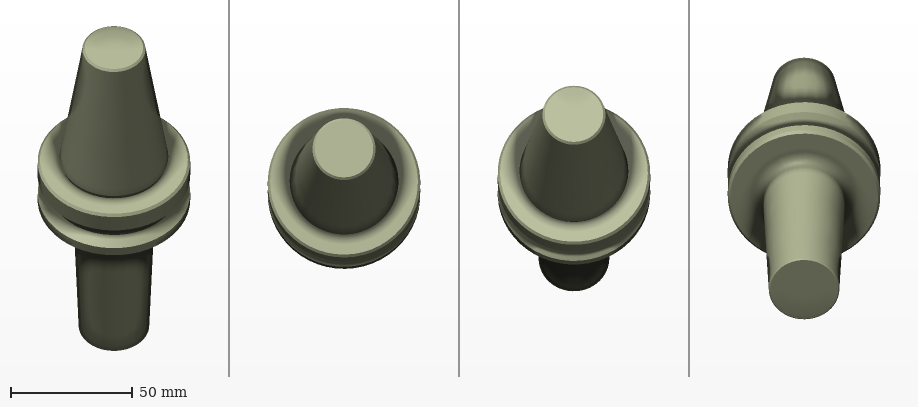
import cadquery as cq
import math

total_length = 167.4
shank_length = 65.5
gauge_radius = 22.5
shank_taper = 7 / 24
shank_tip_radius = gauge_radius - shank_length * shank_taper / 2
shank_tip_chamfer = 0.8

relief_radius = 21.8
relief_cone_bottom = -1.0

flange_radius = 31.5
flange_top = -2.0
flange_bottom = -27.0
flange_chamfer = 1.0
groove_center = -16.4
groove_floor_radius = 26.6
groove_floor_width = 5.0
groove_flank_angle = 30
groove_flank_height = (flange_radius - groove_floor_radius) * math.tan(math.radians(groove_flank_angle))
groove_mouth_width = groove_floor_width + 2 * groove_flank_height

nose_end = shank_length - total_length
nose_end_radius = 14.5
nose_root_radius = 17.0
nose_end_chamfer = 0.5
nose_fillet = 4.7
root_tolerance = 0.2


def cone(bottom, bottom_radius, top, top_radius):
    """Solid frustum about Z."""
    outline = [(0, bottom), (bottom_radius, bottom), (top_radius, top), (0, top)]
    return cq.Workplane("XZ").polyline(outline).close().revolve(360, (0, 0), (0, 1))


def make_shank():
    shank = cone(0, gauge_radius, shank_length, shank_tip_radius)
    shank = shank.faces(">Z").chamfer(shank_tip_chamfer)
    relief = cone(flange_top, relief_radius, relief_cone_bottom, relief_radius)
    relief_cone = cone(relief_cone_bottom, relief_radius, 0, gauge_radius)
    return shank.union(relief_cone).union(relief)


def make_flange():
    flange = cone(flange_bottom, flange_radius, flange_top, flange_radius)
    return flange.faces("<Z or >Z").edges().chamfer(flange_chamfer)


def make_groove():
    """Ring with a trapezoid section that cuts the gripper groove."""
    outline = [
        (groove_floor_radius, groove_center - groove_floor_width / 2),
        (flange_radius, groove_center - groove_mouth_width / 2),
        (flange_radius, groove_center + groove_mouth_width / 2),
        (groove_floor_radius, groove_center + groove_floor_width / 2),
    ]
    return cq.Workplane("XZ").polyline(outline).close().revolve(360, (0, 0), (0, 1))


def make_nose():
    nose = cone(nose_end, nose_end_radius, flange_bottom, nose_root_radius)
    return nose.faces("<Z").chamfer(nose_end_chamfer)


body = make_flange().cut(make_groove()).union(make_nose())
root_height = cq.selectors.BoxSelector(
    (-flange_radius, -flange_radius, flange_bottom - root_tolerance),
    (flange_radius, flange_radius, flange_bottom + root_tolerance),
)
body = body.edges(root_height).edges(cq.selectors.RadiusNthSelector(0)).fillet(nose_fillet)
result = body.union(make_shank())